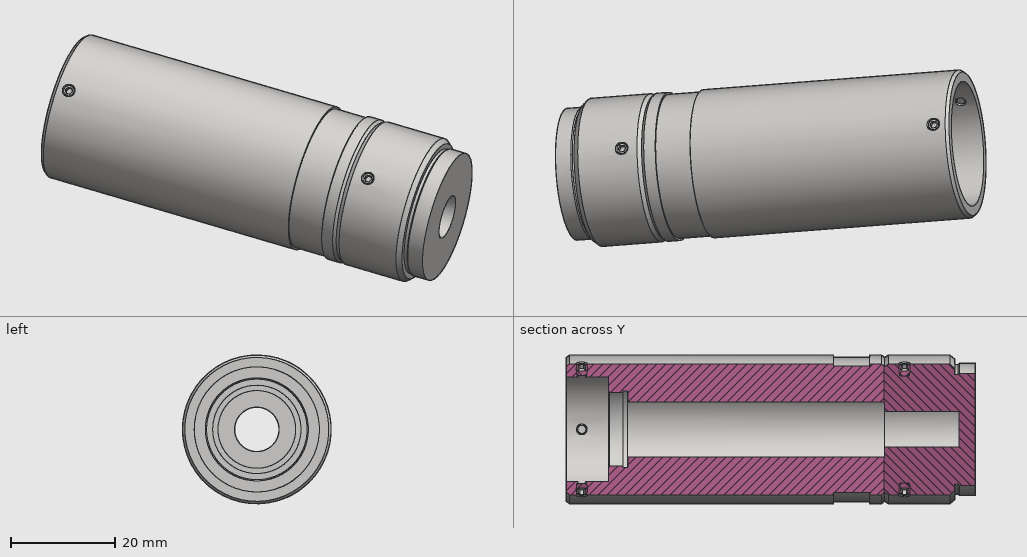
import cadquery as cq
import math

total_length = 78.4
body_radius = 14.3

tube_length = 61.0
front_chamfer_length = 0.6
front_chamfer_drop = 0.5
neck_start = 51.3
neck_end = 58.2
neck_radius = 13.9
rear_chamfer_length = 0.55
rear_chamfer_drop = 0.5

socket_radius = 12.0
socket_depth = 8.1
seat_radius = 9.65
seat_depth = 11.8
seat_chamfer_length = 0.2
seat_chamfer_drop = 0.2
relief_radius = seat_radius + seat_chamfer_drop
relief_start = 10.9
bore_radius = 8.5

cap_front_chamfer_length = 0.8
cap_front_chamfer_drop = 0.5
cap_shoulder = 74.5
cap_end_chamfer_length = 0.95
cap_end_chamfer_drop = 0.8
undercut_radius = 12.5
rim_start = 75.1
rim_radius = 12.7
rim_chamfer = rim_radius - undercut_radius

cap_bore_radius = 7.45
end_wall = 3.1
aperture_radius = 4.2

screw_count = 3
screw_diameter = 2.0
screw_inset = 0.2
screw_tip_chamfer = 0.2
hex_across_flats = 1.25
hex_depth = 0.95
head_radius = body_radius - screw_inset
tip_radius = socket_radius + screw_inset
countersink_diameter = screw_diameter + 2 * screw_inset
tube_screw_x = 3.0
cap_screw_x = 64.85


def revolve_about_x(profile):
    """Turn an (X, radius) profile around the X axis."""
    return profile.close().revolve(360, (0, 0, 0), (1, 0, 0))


def around_axis(shape, x, index):
    """Move a shape built along +Y to station x and to its place around the axis."""
    angle = index * 360 / screw_count
    return shape.translate((x, 0, 0)).rotate((0, 0, 0), (1, 0, 0), angle)


def make_set_screw(x, index):
    """Flat-headed screw with a hexagon socket and a chamfered tip."""
    head_plane = cq.Workplane("XZ", origin=(0, head_radius, 0))
    screw = (
        head_plane.circle(screw_diameter / 2)
        .extrude(head_radius - tip_radius)
        .faces("<Y")
        .chamfer(screw_tip_chamfer)
    )
    hex_across_corners = hex_across_flats / math.cos(math.pi / 6)
    hex_socket = head_plane.polygon(6, hex_across_corners).extrude(hex_depth)
    return around_axis(screw.cut(hex_socket), x, index)


def cut_screw_holes(body, x, floor_radius):
    """Cut the ring of countersunk screw holes from the outside in to floor_radius."""
    outside = body_radius + screw_inset
    hole = (
        cq.Workplane("XY")
        .moveTo(0, floor_radius)
        .lineTo(screw_diameter / 2, floor_radius)
        .lineTo(screw_diameter / 2, head_radius)
        .lineTo(countersink_diameter / 2, body_radius)
        .lineTo(countersink_diameter / 2, outside)
        .lineTo(0, outside)
        .close()
        .revolve(360, (0, 0, 0), (0, 1, 0))
    )
    for index in range(screw_count):
        body = body.cut(around_axis(hole, x, index))
    return body


def make_tube():
    profile = (
        cq.Workplane("XY")
        .moveTo(0, socket_radius)
        .lineTo(0, body_radius - front_chamfer_drop)
        .lineTo(front_chamfer_length, body_radius)
        .lineTo(neck_start, body_radius)
        .lineTo(neck_start, neck_radius)
        .lineTo(neck_end, neck_radius)
        .lineTo(neck_end, body_radius)
        .lineTo(tube_length - rear_chamfer_length, body_radius)
        .lineTo(tube_length, body_radius - rear_chamfer_drop)
        .lineTo(tube_length, bore_radius)
        .lineTo(seat_depth, bore_radius)
        .lineTo(seat_depth, relief_radius)
        .lineTo(relief_start, relief_radius)
        .lineTo(relief_start, seat_radius)
        .lineTo(socket_depth + seat_chamfer_length, seat_radius)
        .lineTo(socket_depth, seat_radius + seat_chamfer_drop)
        .lineTo(socket_depth, socket_radius)
    )
    inside_socket = socket_radius - screw_inset
    return cut_screw_holes(revolve_about_x(profile), tube_screw_x, inside_socket)


def make_cap():
    bore_end = total_length - end_wall
    profile = (
        cq.Workplane("XY")
        .moveTo(tube_length, cap_bore_radius)
        .lineTo(tube_length, body_radius - cap_front_chamfer_drop)
        .lineTo(tube_length + cap_front_chamfer_length, body_radius)
        .lineTo(cap_shoulder - cap_end_chamfer_length, body_radius)
        .lineTo(cap_shoulder, body_radius - cap_end_chamfer_drop)
        .lineTo(cap_shoulder, undercut_radius)
        .lineTo(rim_start, undercut_radius)
        .lineTo(rim_start + rim_chamfer, rim_radius)
        .lineTo(total_length, rim_radius)
        .lineTo(total_length, aperture_radius)
        .lineTo(bore_end, aperture_radius)
        .lineTo(bore_end, cap_bore_radius)
    )
    return cut_screw_holes(revolve_about_x(profile), cap_screw_x, tip_radius)


tube = make_tube()
cap = make_cap()
set_screws = [
    make_set_screw(x, index).val()
    for x in (tube_screw_x, cap_screw_x)
    for index in range(screw_count)
]

result = cq.Compound.makeCompound([tube.val(), cap.val(), *set_screws])